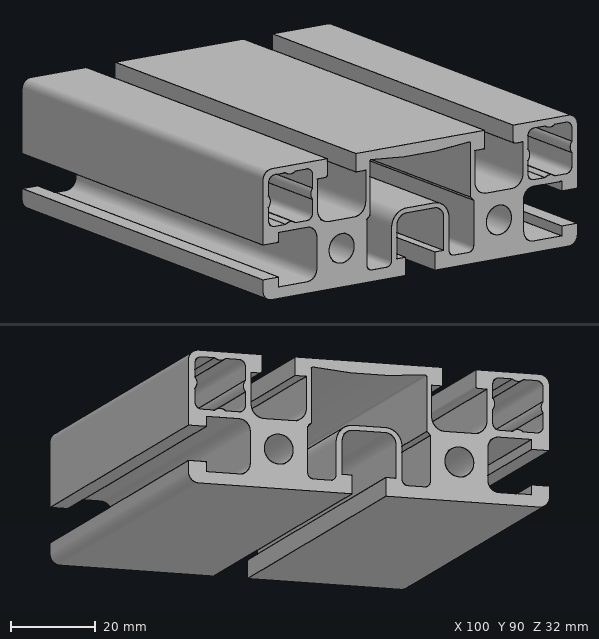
import cadquery as cq

length = 100.0
width = 90.0
height = 32.0
outer_radius = 2.5
half_width = width / 2

slot_spacing = 45.0
slot_y = slot_spacing / 2
slot_depth = 15.4
lip_depth = 4.5
top_slot_radius = 3.3
top_opening = 8.2
top_chamber_width = 13.8
top_lip_radius = 0.6
side_slot_z = 9.5
side_opening = 8.5
side_chamber_width = 13.3
side_slot_radius = 2.8
screw_channel_diameter = 7.2

hollow_size = 12.6
hollow_wall = 1.6
hollow_radius = 1.7
rib_width = 2.8
rib_height = 0.5
hollow_y = half_width - hollow_wall - hollow_size / 2
hollow_z = height - hollow_wall - hollow_size / 2

arch_width = 13.4
arch_top = 15.3
arch_radius = 2.7
arch_side_wall = 1.5
arch_top_wall = 1.2
arch_outer_radius = arch_radius + arch_side_wall
arch_opening = 8.4

cavity_floor = 2.9
cavity_upper_half = 14.4
cavity_lower_half = 15.3
cavity_step_z = 15.4
cavity_roof_edge = 29.9
roof_sag = 0.9
cavity_outer_floor_radius = 1.5
cavity_arch_floor_radius = 1.5
cavity_roof_radius = 0.5


def box(y_center, z_center, y_size, z_size):
    """Full-length bar with a rectangular section."""
    return cq.Workplane("YZ").center(y_center, z_center).rect(y_size, z_size).extrude(length / 2, both=True)


def both_sides(body):
    """The body together with its mirror image about Y = 0."""
    return body.union(body.mirror("XZ"))


def top_slot():
    chamber_depth = slot_depth - lip_depth
    chamber = box(slot_y, height - lip_depth - chamber_depth / 2, top_chamber_width, chamber_depth)
    chamber = chamber.edges("|X and <Z").fillet(top_slot_radius)
    opening = box(slot_y, height - lip_depth / 2, top_opening, lip_depth)
    return chamber.union(opening)


def side_slot():
    chamber_depth = slot_depth - lip_depth
    chamber = box(half_width - lip_depth - chamber_depth / 2, side_slot_z, chamber_depth, side_chamber_width)
    chamber = chamber.edges("|X and <Y").fillet(side_slot_radius)
    opening = box(half_width - lip_depth / 2, side_slot_z, lip_depth, side_opening)
    return chamber.union(opening)


def screw_channel():
    circle = cq.Workplane("YZ").center(slot_y, side_slot_z).circle(screw_channel_diameter / 2)
    return circle.extrude(length / 2, both=True)


def corner_hollow():
    hollow = box(hollow_y, hollow_z, hollow_size, hollow_size).edges("|X").fillet(hollow_radius)
    rib_radius = ((rib_width / 2) ** 2 + rib_height**2) / (2 * rib_height)
    rib_offset = hollow_size / 2 + rib_radius - rib_height
    rib_centers = [(rib_offset, 0), (-rib_offset, 0), (0, rib_offset), (0, -rib_offset)]
    ribs = cq.Workplane("YZ").center(hollow_y, hollow_z).pushPoints(rib_centers).circle(rib_radius)
    return hollow.cut(ribs.extrude(length / 2, both=True))


def arch(arch_full_width, top, radius):
    """Bar standing on the base plane with rounded top corners."""
    return box(0, top / 2, arch_full_width, top).edges("|X and >Z").fillet(radius)


def bottom_slot():
    lips = box(0, lip_depth / 2, arch_width, lip_depth).cut(box(0, lip_depth / 2, arch_opening, lip_depth))
    return arch(arch_width, arch_top, arch_radius).cut(lips)


def central_cavity():
    step = cavity_lower_half - cavity_upper_half
    outline = (
        cq.Workplane("YZ")
        .moveTo(-cavity_lower_half, cavity_floor)
        .lineTo(cavity_lower_half, cavity_floor)
        .lineTo(cavity_lower_half, cavity_step_z)
        .lineTo(cavity_upper_half, cavity_step_z + step)
        .lineTo(cavity_upper_half, cavity_roof_edge)
        .threePointArc((0, cavity_roof_edge - roof_sag), (-cavity_upper_half, cavity_roof_edge))
        .lineTo(-cavity_upper_half, cavity_step_z + step)
        .lineTo(-cavity_lower_half, cavity_step_z)
        .close()
    )
    cavity = outline.extrude(length / 2, both=True)
    cavity = cavity.edges("|X and >Z").fillet(cavity_roof_radius)
    cavity = cavity.edges("|X and <Z").fillet(cavity_outer_floor_radius)
    arch_wall = arch(arch_width + 2 * arch_side_wall, arch_top + arch_top_wall, arch_outer_radius)
    cavity = cavity.cut(arch_wall)
    for side in (1, -1):
        arch_foot = (0, side * (arch_width / 2 + arch_side_wall), cavity_floor)
        cavity = cavity.edges(cq.selectors.NearestToPointSelector(arch_foot)).fillet(cavity_arch_floor_radius)
    return cavity


result = box(0, height / 2, width, height).edges("|X").fillet(outer_radius)
for opening in (top_slot(), side_slot(), screw_channel(), corner_hollow()):
    result = result.cut(both_sides(opening))
result = result.cut(central_cavity()).cut(bottom_slot())

for side in (1, -1):
    lip_edge = (0, side * (slot_y + top_opening / 2), height - lip_depth)
    result = result.edges(cq.selectors.NearestToPointSelector(lip_edge)).fillet(top_lip_radius)